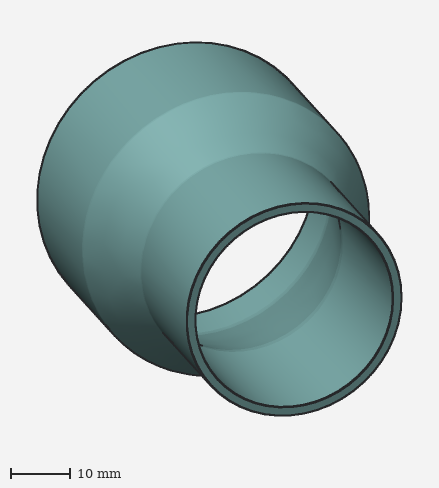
import cadquery as cq

total_length = 63.5
large_diameter = 50.8
small_diameter = 38.1
wall = 1.65

outer_cone_start = 25.4
outer_cone_length = 12.7
outer_blend_radius = 0.75

bore_cone_start = 9.5
bore_cone_length = 25.4
bore_blend_radius = 6.35

end_chamfer = 0.1


def stepped_cone(large_radius, small_radius, cone_start, cone_length, blend_radius):
    """Solid of revolution about X: cylinder, cone, smaller cylinder, with rounded junctions."""
    body = (
        cq.Workplane("XY")
        .lineTo(0, large_radius)
        .lineTo(cone_start, large_radius)
        .lineTo(cone_start + cone_length, small_radius)
        .lineTo(total_length, small_radius)
        .lineTo(total_length, 0)
        .close()
        .revolve(360, (0, 0, 0), (1, 0, 0))
    )
    junctions = body.edges("%CIRCLE").edges("not(<X or >X)")
    return junctions.fillet(blend_radius)


outside = stepped_cone(
    large_diameter / 2,
    small_diameter / 2,
    outer_cone_start,
    outer_cone_length,
    outer_blend_radius,
)
bore = stepped_cone(
    large_diameter / 2 - wall,
    small_diameter / 2 - wall,
    bore_cone_start,
    bore_cone_length,
    bore_blend_radius,
)

reducer = outside.cut(bore)
result = reducer.edges("<X or >X").chamfer(end_chamfer)